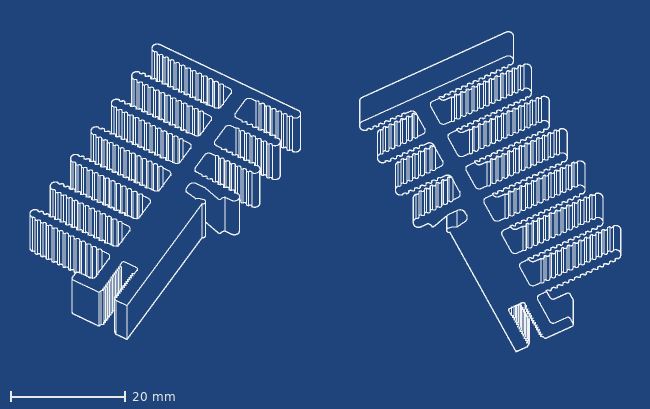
import cadquery as cq
import math

WIDTH = 30.0
LENGTH = 52.0
THICKNESS = 10.0

WEB_LEFT = 17.05
WEB_RIGHT = 19.95
BLOCK_RIGHT = 25.0

FIN_COUNT = 7
CLIP_FIN = 3
TIP_RADIUS = 0.95
ROOT_HALF = 1.0
TOP_FIN_ROOT_HALF = 1.1
CLIP_FIN_ROOT_HALF = 1.25
TOP_FIN_Y = LENGTH - TIP_RADIUS
BOTTOM_FIN_Y = 9.05
FIN_PITCH = (TOP_FIN_Y - BOTTOM_FIN_Y) / (FIN_COUNT - 1)
ROOT_FILLET = 0.8

LEFT_TEETH = 12
RIGHT_TEETH = 6
FIRST_TOOTH = 1.75
LEFT_TEETH_SPAN = 12.5
TOOTH_PITCH = LEFT_TEETH_SPAN / (LEFT_TEETH - 1)
CREST_TIP_WIDTH = 0.5
CREST_ROOT_WIDTH = 0.3
TOOTH_AMPLITUDE = 0.18

CHANNEL_LEFT = 20.9
CHANNEL_FLOOR = 26.55
CHANNEL_FILLET = 0.95
FLOOR_DIP = (23.4, 26.25)
DIP_END = (24.1, 26.6)
HEAD_RADIUS = 0.45
HEAD_X = 24.9
HEAD_Y = 26.3

HOOK_START_X = 23.65
HOOK_BOTTOM = 28.2
HOOK_TIP_LEFT = 26.9
HOOK_TIP_RIGHT = 27.3
HOOK_END_X = 27.7
HOOK_SWEEP = 0.1
HOOK_TIP_FILLET = 0.1

FOOT_LEFT = 13.6
FOOT_HEIGHT = 2.0
FOOT_CORNER = 0.4
FOOT_FILLET = 0.6

SLOT_LEFT = 19.45
SLOT_RIGHT = 22.55
SLOT_TOP = 8.0
SLOT_CORNER = 0.35
RIDGE_COUNT = 13
RIDGE_PITCH = 0.5
RIDGE_HEIGHT = 0.4
RIDGE_FIRST_LEFT = 0.75
RIDGE_FIRST_RIGHT = RIDGE_FIRST_LEFT - RIDGE_PITCH / 2
MOUTH_CHAMFER = 0.15


def fin_y(index):
    return TOP_FIN_Y - index * FIN_PITCH


CLIP_FIN_Y = fin_y(CLIP_FIN)
CHANNEL_TOP = CLIP_FIN_Y - TIP_RADIUS


def slab(left, right, bottom, top):
    """Full-thickness rectangular block."""
    block_at_origin = cq.Workplane().box(right - left, top - bottom, THICKNESS, centered=False)
    return block_at_origin.translate((left, bottom, 0))


def plain_flank():
    """Untoothed flank, starting where the tip rounding ends."""
    return [((FIRST_TOOTH, TIP_RADIUS), None)]


def toothed_flank(teeth, root_half):
    """Steps along one toothed flank from tip to root, alternating valley and crest arcs.

    Each step is (end, arc middle) in (distance from the tip, half thickness);
    a straight step has no arc middle.
    """
    root = FIRST_TOOTH + teeth * TOOTH_PITCH

    def taper(distance, tip_value, root_value):
        return tip_value + (root_value - tip_value) * distance / root

    def flank(distance, offset):
        return (distance, taper(distance, TIP_RADIUS, root_half) + offset)

    def crest_end(crest_x, side):
        """Edge between a crest arc and a valley arc; the narrower the crest, the flatter its arc."""
        width = taper(crest_x, CREST_TIP_WIDTH, CREST_ROOT_WIDTH)
        return flank(crest_x + side * width / 2, TOOTH_AMPLITUDE * (1 - width / TOOTH_PITCH))

    steps = []
    for tooth in range(teeth):
        crest_x = FIRST_TOOTH + tooth * TOOTH_PITCH
        steps.append((crest_end(crest_x, -1), flank(crest_x - TOOTH_PITCH / 2, -TOOTH_AMPLITUDE)))
        steps.append((crest_end(crest_x, 1), flank(crest_x, TOOTH_AMPLITUDE)))
    last_valley = flank(root - TOOTH_PITCH / 2, -TOOTH_AMPLITUDE)
    steps.append(((root - TOOTH_PITCH / 4, root_half), last_valley))
    return steps


def trace_flank(outline, steps, place):
    """Extend an outline along the flank steps, mapped into the XY plane by place()."""
    for end, middle in steps:
        if middle is None:
            outline = outline.lineTo(*place(*end))
        else:
            outline = outline.threePointArc(place(*middle), place(*end))
    return outline


def half_fin(steps, place, length):
    """Half of a fin, from its centre line out to one flank, with a quarter-round tip."""
    outline = cq.Workplane().moveTo(*place(0, 0))
    tip_middle = (TIP_RADIUS * (1 - math.sqrt(0.5)), TIP_RADIUS * math.sqrt(0.5))
    outline = outline.threePointArc(place(*tip_middle), place(TIP_RADIUS, TIP_RADIUS))
    outline = trace_flank(outline, steps, place)
    root_half = steps[-1][0][1]
    outline = outline.lineTo(*place(length, root_half)).lineTo(*place(length, 0))
    return outline.close().extrude(THICKNESS)


def fin(tip_x, direction, centre_y, upper, lower):
    """Round-tipped fin running from its tip along X (direction +1 or -1) into the web."""
    web_middle = (WEB_LEFT + WEB_RIGHT) / 2
    length = abs(web_middle - tip_x)

    def upper_place(distance, half):
        return (tip_x + direction * distance, centre_y + half)

    def lower_place(distance, half):
        return (tip_x + direction * distance, centre_y - half)

    upper_half = half_fin(upper, upper_place, length)
    lower_half = half_fin(lower, lower_place, length)
    return upper_half.union(lower_half)


def all_fins():
    fins = cq.Workplane()
    for tip_x, direction, teeth, count in (
        (0, 1, LEFT_TEETH, FIN_COUNT),
        (WIDTH, -1, RIGHT_TEETH, CLIP_FIN + 1),
    ):
        for index in range(count):
            upper = toothed_flank(teeth, ROOT_HALF)
            lower = toothed_flank(teeth, ROOT_HALF)
            if index == 0:
                upper = plain_flank()
                lower = toothed_flank(teeth, TOP_FIN_ROOT_HALF)
            if direction == -1 and index == CLIP_FIN:
                upper = toothed_flank(teeth, CLIP_FIN_ROOT_HALF)
                lower = plain_flank()
            fins = fins.add(fin(tip_x, direction, fin_y(index), upper, lower))
    return fins.combine()


def clip_channel():
    """Cutter for the round-cornered channel, with a dip in its floor and a clear mouth."""
    return (
        cq.Workplane()
        .moveTo(WIDTH, CHANNEL_TOP)
        .lineTo(CHANNEL_LEFT + CHANNEL_FILLET, CHANNEL_TOP)
        .radiusArc((CHANNEL_LEFT, CHANNEL_TOP - CHANNEL_FILLET), -CHANNEL_FILLET)
        .lineTo(CHANNEL_LEFT, CHANNEL_FLOOR + CHANNEL_FILLET)
        .radiusArc((CHANNEL_LEFT + CHANNEL_FILLET, CHANNEL_FLOOR), -CHANNEL_FILLET)
        .lineTo(*FLOOR_DIP)
        .lineTo(*DIP_END)
        .lineTo(HEAD_X, HEAD_Y + HEAD_RADIUS)
        .lineTo(HEAD_X, HEAD_Y)
        .lineTo(WIDTH, HEAD_Y)
        .close()
        .extrude(THICKNESS)
    )


def clip_hook():
    """Barb hanging from the clip fin, hollow on its outer side."""
    outer_middle = (
        (HOOK_TIP_RIGHT + HOOK_END_X) / 2 - HOOK_SWEEP,
        (HOOK_BOTTOM + CHANNEL_TOP) / 2 + HOOK_SWEEP,
    )
    hook = (
        cq.Workplane()
        .moveTo(HOOK_START_X, CHANNEL_TOP)
        .lineTo(HOOK_TIP_LEFT, HOOK_BOTTOM)
        .lineTo(HOOK_TIP_RIGHT, HOOK_BOTTOM)
        .threePointArc(outer_middle, (HOOK_END_X, CHANNEL_TOP))
        .lineTo(HOOK_END_X, CLIP_FIN_Y)
        .lineTo(HOOK_START_X, CLIP_FIN_Y)
        .close()
        .extrude(THICKNESS)
    )
    return fillet_corners(hook, [(HOOK_TIP_RIGHT, HOOK_BOTTOM)], HOOK_TIP_FILLET)


def screw_slot():
    """Cutter for the screw slot; the ridges of the two walls are half a pitch apart."""
    left_ys = [RIDGE_FIRST_LEFT + i * RIDGE_PITCH for i in range(RIDGE_COUNT)]
    right_ys = [RIDGE_FIRST_RIGHT + i * RIDGE_PITCH for i in range(RIDGE_COUNT)]
    outline = cq.Workplane().moveTo(SLOT_RIGHT + MOUTH_CHAMFER, 0)
    outline = outline.lineTo(SLOT_LEFT - MOUTH_CHAMFER, 0)
    outline = outline.lineTo(SLOT_LEFT, RIDGE_FIRST_LEFT - RIDGE_PITCH / 2)
    for ridge_y in left_ys:
        outline = outline.lineTo(SLOT_LEFT + RIDGE_HEIGHT, ridge_y)
        outline = outline.lineTo(SLOT_LEFT, ridge_y + RIDGE_PITCH / 2)
    outline = outline.lineTo(SLOT_LEFT, SLOT_TOP - SLOT_CORNER)
    outline = outline.radiusArc((SLOT_LEFT + SLOT_CORNER, SLOT_TOP), SLOT_CORNER)
    outline = outline.lineTo(SLOT_RIGHT - SLOT_CORNER, SLOT_TOP)
    outline = outline.radiusArc((SLOT_RIGHT, SLOT_TOP - SLOT_CORNER), SLOT_CORNER)
    outline = outline.lineTo(SLOT_RIGHT, right_ys[-1] + RIDGE_PITCH / 2)
    for ridge_y in reversed(right_ys):
        outline = outline.lineTo(SLOT_RIGHT - RIDGE_HEIGHT, ridge_y)
        if ridge_y != right_ys[0]:
            outline = outline.lineTo(SLOT_RIGHT, ridge_y - RIDGE_PITCH / 2)
    return outline.close().extrude(THICKNESS)


def fillet_corners(body, corners, radius):
    """Round the upright edges that pass through the given (x, y) corners."""
    edges = cq.Workplane()
    for x, y in corners:
        edges = edges.add(body.edges(cq.NearestToPointSelector((x, y, THICKNESS / 2))))
    return body.newObject(edges.vals()).fillet(radius)


def root_corners():
    """Corners where the fin flanks meet the web."""
    corners = [(WEB_LEFT, TOP_FIN_Y - TOP_FIN_ROOT_HALF), (WEB_RIGHT, TOP_FIN_Y - TOP_FIN_ROOT_HALF)]
    for index in range(1, FIN_COUNT):
        corners.append((WEB_LEFT, fin_y(index) + ROOT_HALF))
        corners.append((WEB_LEFT, fin_y(index) - ROOT_HALF))
    for index in range(1, CLIP_FIN):
        corners.append((WEB_RIGHT, fin_y(index) + ROOT_HALF))
        corners.append((WEB_RIGHT, fin_y(index) - ROOT_HALF))
    corners.append((WEB_RIGHT, CLIP_FIN_Y + CLIP_FIN_ROOT_HALF))
    return corners


web = slab(WEB_LEFT, WEB_RIGHT, 0, TOP_FIN_Y)
block = slab(WEB_LEFT, BLOCK_RIGHT, 0, CLIP_FIN_Y)
foot = slab(FOOT_LEFT, WEB_RIGHT, 0, FOOT_HEIGHT)
head = cq.Workplane().center(HEAD_X, HEAD_Y).circle(HEAD_RADIUS).extrude(THICKNESS)

body = web.union(block).cut(clip_channel()).union(head).union(foot)
body = body.union(all_fins()).union(clip_hook())
body = fillet_corners(body, root_corners(), ROOT_FILLET)
body = fillet_corners(body, [(WEB_LEFT, FOOT_HEIGHT)], FOOT_FILLET)
body = fillet_corners(body, [(FOOT_LEFT, 0), (FOOT_LEFT, FOOT_HEIGHT)], FOOT_CORNER)
result = body.cut(screw_slot())